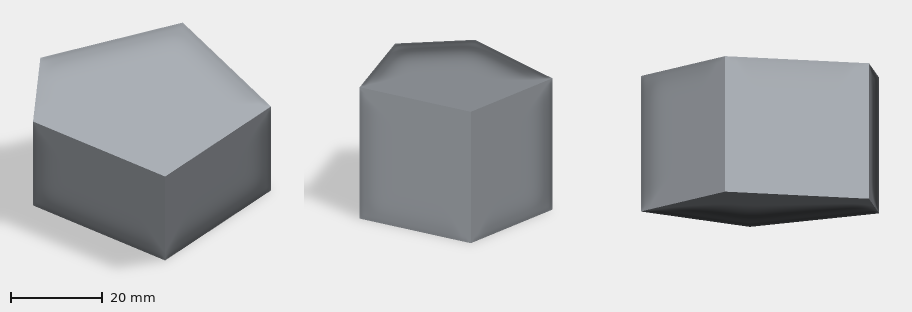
import cadquery as cq
import math

overall = 42.45
long_side = overall / math.sqrt(2)
height = long_side
corner_offset = overall - long_side

outline = [
    (0, corner_offset),
    (corner_offset, 0),
    (overall, corner_offset),
    (overall, overall),
    (corner_offset, overall),
]

result = cq.Workplane("XY").polyline(outline).close().extrude(height)